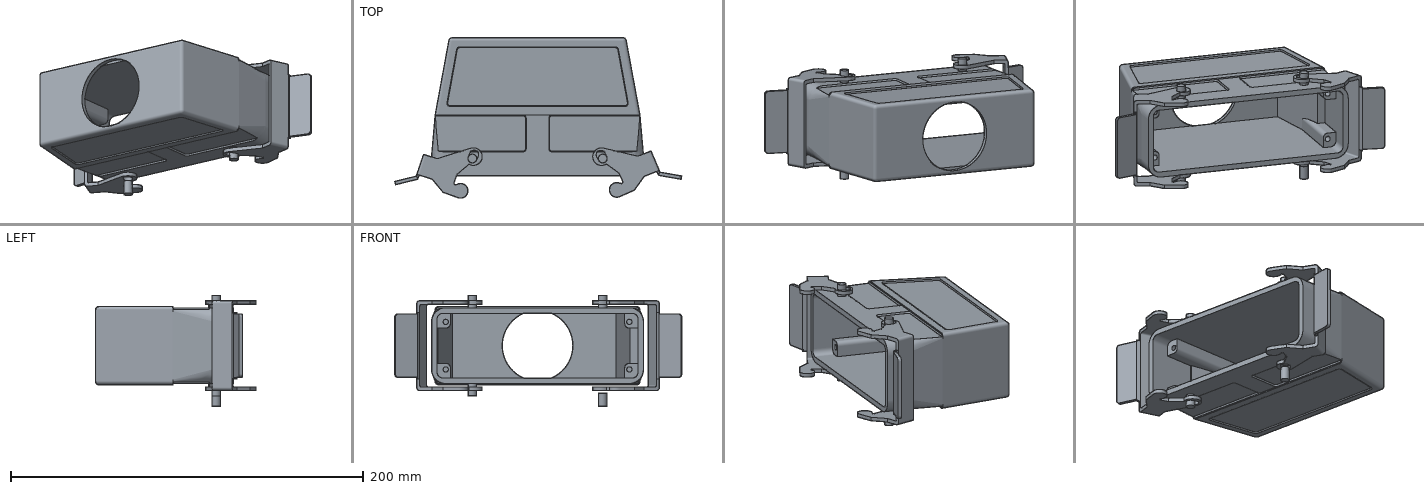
import cadquery as cq
import math

HOOD_DEPTH = 78.4
STEP_Y = 34.4
BLEND_END_Y = 11.4
SKIRT_HALF_X = 60.2
STEP_HALF_X = 58.2
BACK_HALF_X = 50.1
SKIRT_HALF_Z = 21.5
BLOCK_HALF_Z = 22.25
SKIRT_CORNER = 8.0
STEP_CORNER = 2.0
BLOCK_FILLET = 2.0
SIDE_SLOPE = (STEP_HALF_X - BACK_HALF_X) / (HOOD_DEPTH - STEP_Y)

CAVITY_HALF_X = 57.1
CAVITY_HALF_Z = 18.4
CAVITY_CORNER = 3.5
CAVITY_BACK_Y = 75.5
LEDGE_Y = 31.0
LEFT_WALL = 2.4
RIGHT_WALL = 6.2
CABLE_HOLE_D = 40.0

POST_FRONT_Y = 12.0
POST_INNER_X = 49.5
POST_INNER_Z = 10.0
POST_CORNER = 2.5
SCREW_X = 52.1
SCREW_Z = 13.5
SCREW_D = 3.0
SCREW_DEPTH = 12.0

PANEL_DEPTH = 0.8
PANEL_BOTTOM_Y = 39.4
PANEL_TOP_Y = 73.1
PANEL_BOTTOM_HALF_X = 51.8
PANEL_TOP_HALF_X = 45.7
PANEL_CORNER = 1.8
PANEL_DRAFT = 0.4
SKIRT_PANEL_DEPTH = 1.0
SKIRT_PANEL_INNER_X = 6.4
SKIRT_PANEL_BOTTOM_Y = 13.6

PIN_D = 4.9
PIN_X = 37.0
PIN_Y = 9.8
PIN_END_Z = 28.5
LOOSE_PIN_TOP_Z = -27.0
LOOSE_PIN_LENGTH = 7.5

LEVER_HALF_Z = 25.5
ARM_THICKNESS = 2.1
PLATE_THICKNESS = 1.8
HANDLE_THICKNESS = 2.0
BEND_RADIUS = 1.7
INNER_BEND_RADIUS = 0.9
EYE_CENTRE = (0.6, 1.1)
EYE_RADIUS = 5.0
EYE_UNDERSIDE_ANGLE = 240.0
SLOT_END = (1.0, 2.2)
SLOT_WIDTH = 5.1
HOOK_CENTRE = (-6.7, -18.35)
HOOK_RADIUS = 4.2
ARM_NECK_TOP = (-20.0, -0.1)
PLATE_TOP = (-27.7, 2.4)
PLATE_BOTTOM = (-31.6, -9.0)
ARM_BELLY = (-22.8, -11.8)
ARM_HEEL = (-16.7, -19.2)
HOOK_THROAT = (-10.5, -14.1)
HOOK_NOTCH = (-9.8, -15.0)
ARM_THROAT_TOP = (-8.6, -8.9)
HANDLE_ROOT = (-31.6, -9.9)
HANDLE_TIP = (-44.1, -13.0)
HANDLE_HALF_Z = 18.0
HANDLE_ROOT_HALF_Z = 18.8
HANDLE_CORNER = 1.8
RIGHT_LEVER_TURN = 4.0


def along_y(sketch_y):
    """Workplane at the given y whose extrusions run toward +Y (local x = X, local y = -Z)."""
    return cq.Workplane("XZ", origin=(0, sketch_y, 0)).transformed(rotate=(180, 0, 0))


def half_width(y):
    """Outer half width of the tapered upper block at depth y."""
    return STEP_HALF_X - SIDE_SLOPE * (y - STEP_Y)


def make_skirt():
    rim = cq.Sketch().rect(2 * SKIRT_HALF_X, 2 * SKIRT_HALF_Z).vertices().fillet(SKIRT_CORNER)
    step = cq.Sketch().rect(2 * STEP_HALF_X, 2 * SKIRT_HALF_Z).vertices().fillet(STEP_CORNER)
    blend_length = STEP_Y - BLEND_END_Y
    straight = along_y(0).placeSketch(rim).extrude(BLEND_END_Y)
    blend = (
        along_y(BLEND_END_Y)
        .placeSketch(rim, step.moved(cq.Location(cq.Vector(0, 0, blend_length))))
        .loft(ruled=True)
    )
    return straight.union(blend)


def make_block():
    outline = [
        (-STEP_HALF_X, STEP_Y),
        (STEP_HALF_X, STEP_Y),
        (BACK_HALF_X, HOOD_DEPTH),
        (-BACK_HALF_X, HOOD_DEPTH),
    ]
    block = cq.Workplane("XY").polyline(outline).close().extrude(BLOCK_HALF_Z, both=True)
    return block.edges("not <Y").fillet(BLOCK_FILLET)


def make_cavity():
    mouth = (
        along_y(0).rect(2 * CAVITY_HALF_X, 2 * CAVITY_HALF_Z)
        .extrude(LEDGE_Y).edges("|Y").fillet(CAVITY_CORNER)
    )
    outline = [
        (-half_width(LEDGE_Y) + LEFT_WALL, LEDGE_Y),
        (half_width(LEDGE_Y) - RIGHT_WALL, LEDGE_Y),
        (half_width(CAVITY_BACK_Y) - RIGHT_WALL, CAVITY_BACK_Y),
        (-half_width(CAVITY_BACK_Y) + LEFT_WALL, CAVITY_BACK_Y),
    ]
    taper = cq.Workplane("XY").polyline(outline).close().extrude(CAVITY_HALF_Z, both=True)
    return mouth.union(taper)


def make_posts():
    """Four screw posts, trimmed to the tapering cavity they stand in."""
    size_x = SKIRT_HALF_X - POST_INNER_X
    size_z = SKIRT_HALF_Z - POST_INNER_Z
    posts = cq.Workplane("XY")
    for side_x in (-1, 1):
        for side_z in (-1, 1):
            inner_x = "<X" if side_x > 0 else ">X"
            inner_z = "<Z" if side_z > 0 else ">Z"
            post = (
                along_y(POST_FRONT_Y)
                .center(side_x * (POST_INNER_X + size_x / 2), -side_z * (POST_INNER_Z + size_z / 2))
                .rect(size_x, size_z).extrude(CAVITY_BACK_Y - POST_FRONT_Y)
                .faces(inner_x).edges(inner_z).fillet(POST_CORNER)
            )
            posts = posts.union(post)
    return posts.intersect(make_cavity())


def make_screw_holes():
    return (
        along_y(POST_FRONT_Y).rect(2 * SCREW_X, 2 * SCREW_Z, forConstruction=True)
        .vertices().circle(SCREW_D / 2).extrude(SCREW_DEPTH)
    )


def make_recess(outline, face_z, depth):
    """Cutter with drafted walls, sunk from a face at height face_z."""
    draft_angle = math.degrees(math.atan(PANEL_DRAFT / depth))
    return cq.Workplane("XY", origin=(0, 0, face_z)).placeSketch(outline).extrude(-depth, taper=draft_angle)


def make_panels():
    """Cutters for the recesses on the +Z face: one in the block, two in the skirt."""
    bottom_left = (-PANEL_BOTTOM_HALF_X, PANEL_BOTTOM_Y)
    block_outline = (
        cq.Sketch()
        .polygon([
            bottom_left,
            (PANEL_BOTTOM_HALF_X, PANEL_BOTTOM_Y),
            (PANEL_TOP_HALF_X, PANEL_TOP_Y),
            (-PANEL_TOP_HALF_X, PANEL_TOP_Y),
            bottom_left,
        ])
        .vertices().fillet(PANEL_CORNER)
    )
    panels = [make_recess(block_outline, BLOCK_HALF_Z, PANEL_DEPTH)]
    length_x = SKIRT_HALF_X + PANEL_CORNER - SKIRT_PANEL_INNER_X
    length_y = STEP_Y - SKIRT_PANEL_BOTTOM_Y
    for side in (-1, 1):
        middle = cq.Location(cq.Vector(
            side * (SKIRT_PANEL_INNER_X + length_x / 2), SKIRT_PANEL_BOTTOM_Y + length_y / 2, 0
        ))
        outline = cq.Sketch().rect(length_x, length_y)
        outline = outline.vertices("<X" if side > 0 else ">X").fillet(PANEL_CORNER)
        panels.append(make_recess(outline.moved(middle), SKIRT_HALF_Z, SKIRT_PANEL_DEPTH))
    return panels


def make_pin(x, z_start, z_end):
    return cq.Workplane("XY", origin=(x, PIN_Y, z_start)).circle(PIN_D / 2).extrude(z_end - z_start)


def make_hood():
    hood = make_skirt().union(make_block())
    for panel in make_panels():
        hood = hood.cut(panel).cut(panel.mirror("XY"))
    cable_hole = along_y(CAVITY_BACK_Y).circle(CABLE_HOLE_D / 2).extrude(HOOD_DEPTH - CAVITY_BACK_Y)
    hood = hood.cut(make_cavity()).union(make_posts()).cut(make_screw_holes()).cut(cable_hole)
    wall_z = (SKIRT_HALF_Z + CAVITY_HALF_Z) / 2
    for x, side in ((-PIN_X, 1), (PIN_X, 1), (-PIN_X, -1)):
        hood = hood.union(make_pin(x, side * wall_z, side * PIN_END_Z))
    return hood


def tangent_point(point, centre, radius, side):
    """Where the line from a point touches a circle; side +1 or -1 picks the tangent."""
    dx = point[0] - centre[0]
    dy = point[1] - centre[1]
    angle = math.atan2(dy, dx) + side * math.acos(radius / math.hypot(dx, dy))
    return (centre[0] + radius * math.cos(angle), centre[1] + radius * math.sin(angle))


def opposite(point, centre, radius):
    """Point of a circle lying away from the given point."""
    dx = centre[0] - point[0]
    dy = centre[1] - point[1]
    scale = radius / math.hypot(dx, dy)
    return (centre[0] + dx * scale, centre[1] + dy * scale)


def make_lever():
    """Left lever, pivoting about the origin: two hooked arms, a cross plate and a handle."""
    plate_x = PLATE_BOTTOM[0] - PLATE_TOP[0]
    plate_y = PLATE_BOTTOM[1] - PLATE_TOP[1]
    plate_length = math.hypot(plate_x, plate_y)
    inward = (-plate_y / plate_length, plate_x / plate_length)

    def inside(point, distance):
        return (point[0] + inward[0] * distance, point[1] + inward[1] * distance)

    eye_angle = math.radians(EYE_UNDERSIDE_ANGLE)
    eye_start = (
        EYE_CENTRE[0] + EYE_RADIUS * math.cos(eye_angle),
        EYE_CENTRE[1] + EYE_RADIUS * math.sin(eye_angle),
    )
    eye_end = tangent_point(ARM_NECK_TOP, EYE_CENTRE, EYE_RADIUS, -1)
    hook_start = tangent_point(ARM_HEEL, HOOK_CENTRE, HOOK_RADIUS, 1)
    hook_end = tangent_point(HOOK_NOTCH, HOOK_CENTRE, HOOK_RADIUS, -1)
    lever = (
        cq.Workplane("XY", origin=(0, 0, -LEVER_HALF_Z))
        .moveTo(*PLATE_TOP).lineTo(*PLATE_BOTTOM)
        .lineTo(*ARM_BELLY).lineTo(*ARM_HEEL).lineTo(*hook_start)
        .threePointArc(opposite(ARM_HEEL, HOOK_CENTRE, HOOK_RADIUS), hook_end)
        .lineTo(*HOOK_NOTCH).lineTo(*HOOK_THROAT).lineTo(*ARM_THROAT_TOP).lineTo(*eye_start)
        .threePointArc(opposite(ARM_NECK_TOP, EYE_CENTRE, EYE_RADIUS), eye_end)
        .lineTo(*ARM_NECK_TOP).close().extrude(2 * LEVER_HALF_Z)
    )
    reach = 3 * plate_length
    gap_top = (PLATE_TOP[0] - plate_x * 2, PLATE_TOP[1] - plate_y * 2)
    gap_bottom = (PLATE_BOTTOM[0] + plate_x * 2, PLATE_BOTTOM[1] + plate_y * 2)
    gap = (
        cq.Workplane("XY")
        .polyline([
            inside(gap_top, PLATE_THICKNESS),
            inside(gap_bottom, PLATE_THICKNESS),
            inside(gap_bottom, reach),
            inside(gap_top, reach),
        ])
        .close().extrude(LEVER_HALF_Z - ARM_THICKNESS, both=True)
    )
    lever = lever.cut(gap)
    plate_middle = ((PLATE_TOP[0] + PLATE_BOTTOM[0]) / 2, (PLATE_TOP[1] + PLATE_BOTTOM[1]) / 2)
    inner_middle = inside(plate_middle, PLATE_THICKNESS)
    for side in (-1, 1):
        lever = round_edge(lever, (*plate_middle, side * LEVER_HALF_Z), BEND_RADIUS)
        lever = round_edge(lever, (*inner_middle, side * (LEVER_HALF_Z - ARM_THICKNESS)), INNER_BEND_RADIUS)

    slot = (
        cq.Workplane("XY")
        .center(SLOT_END[0] / 2, SLOT_END[1] / 2)
        .slot2D(
            math.hypot(*SLOT_END) + SLOT_WIDTH, SLOT_WIDTH,
            math.degrees(math.atan2(SLOT_END[1], SLOT_END[0])),
        )
        .extrude(2 * LEVER_HALF_Z, both=True)
    )
    start = (PLATE_BOTTOM[0] - plate_x / plate_length, PLATE_BOTTOM[1] - plate_y / plate_length)
    return lever.cut(slot).union(make_handle([inside(start, PLATE_THICKNESS), start, PLATE_BOTTOM]))


def round_edge(body, point, radius):
    """Fillet the edge nearest to a point."""
    return body.edges(cq.selectors.NearestToPointSelector(point)).fillet(radius)


def make_handle(plate_end):
    """Strip bent outward from the cross plate, with a wider bend at its root."""
    run_x = HANDLE_TIP[0] - HANDLE_ROOT[0]
    run_y = HANDLE_TIP[1] - HANDLE_ROOT[1]
    run = math.hypot(run_x, run_y)

    def underside(point):
        return (point[0] - run_y / run * HANDLE_THICKNESS, point[1] + run_x / run * HANDLE_THICKNESS)

    strip = (
        cq.Workplane("XY")
        .polyline([HANDLE_TIP, underside(HANDLE_TIP), underside(HANDLE_ROOT), HANDLE_ROOT])
        .close().extrude(HANDLE_HALF_Z, both=True)
    )
    tip_under = underside(HANDLE_TIP)
    tip_middle = ((HANDLE_TIP[0] + tip_under[0]) / 2, (HANDLE_TIP[1] + tip_under[1]) / 2)
    for z in (-HANDLE_HALF_Z, HANDLE_HALF_Z):
        strip = round_edge(strip, (*tip_middle, z), HANDLE_CORNER)
    root = (
        cq.Workplane("XY")
        .polyline([HANDLE_ROOT, underside(HANDLE_ROOT), *plate_end])
        .close().extrude(HANDLE_ROOT_HALF_Z, both=True)
    )
    return strip.union(root)


hood = make_hood()
lever = make_lever()
left_lever = lever.translate((-PIN_X, PIN_Y, 0))
right_lever = (
    lever.mirror("YZ").rotate((0, 0, 0), (0, 0, 1), RIGHT_LEVER_TURN).translate((PIN_X, PIN_Y, 0))
)
loose_pin = make_pin(PIN_X, LOOSE_PIN_TOP_Z - LOOSE_PIN_LENGTH, LOOSE_PIN_TOP_Z)

result = cq.Compound.makeCompound([hood.val(), left_lever.val(), right_lever.val(), loose_pin.val()])